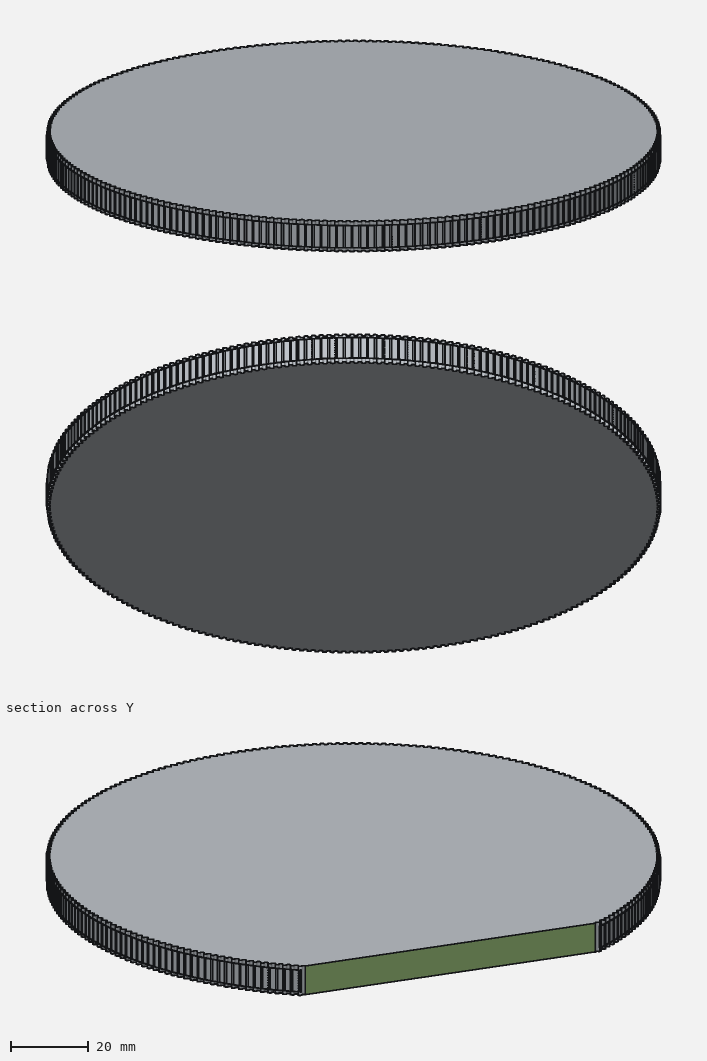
import cadquery as cq
import math

band_diameter = 157.9
thickness = 8.0
tooth_count = 248
band_wall = 0.25
band_width = 6.0
groove_radius = 0.55
tip_fillet = 0.22

band_radius = band_diameter / 2
land_radius = band_radius - band_wall
pitch_angle = 2 * math.pi / tooth_count
groove_center_radius = land_radius - tip_fillet
mouth_half_angle = math.asin((groove_radius + tip_fillet) / land_radius)


def polar_point(radius, angle):
    return cq.Vector(radius * math.cos(angle), radius * math.sin(angle))


def groove_point(across, radial, angle):
    """Point at a distance along, and another square to, the radial line at the given angle."""
    return polar_point(radial, angle) + polar_point(across, angle + math.pi / 2)


def tooth_edges(land_angle):
    """Land of one tooth and the round-bottomed groove after it, with a fillet at each tooth tip."""
    angle = land_angle + pitch_angle / 2
    fillet_reach = tip_fillet * math.sqrt(0.5)
    fillet_across = groove_radius + tip_fillet - fillet_reach
    fillet_radial = groove_center_radius + fillet_reach

    land_start = polar_point(land_radius, angle - pitch_angle + mouth_half_angle)
    land_middle = polar_point(land_radius, land_angle)
    land_end = polar_point(land_radius, angle - mouth_half_angle)
    first_fillet = groove_point(-fillet_across, fillet_radial, angle)
    groove_start = groove_point(-groove_radius, groove_center_radius, angle)
    groove_bottom = polar_point(groove_center_radius - groove_radius, angle)
    groove_end = groove_point(groove_radius, groove_center_radius, angle)
    second_fillet = groove_point(fillet_across, fillet_radial, angle)
    next_land = polar_point(land_radius, angle + mouth_half_angle)

    return [
        cq.Edge.makeThreePointArc(land_start, land_middle, land_end),
        cq.Edge.makeThreePointArc(land_end, first_fillet, groove_start),
        cq.Edge.makeThreePointArc(groove_start, groove_bottom, groove_end),
        cq.Edge.makeThreePointArc(groove_end, second_fillet, next_land),
    ]


def toothed_disk():
    edges = []
    for tooth in range(tooth_count):
        edges.extend(tooth_edges(tooth * pitch_angle))
    outline = cq.Wire.assembleEdges(edges)
    return cq.Workplane("XY").add(outline).toPending().extrude(thickness)


def rim_band():
    """Thin hoop resting on the tooth lands, centred in the thickness."""
    return (
        cq.Workplane("XY")
        .workplane(offset=(thickness - band_width) / 2)
        .circle(band_radius)
        .circle(land_radius)
        .extrude(band_width)
    )


result = toothed_disk().union(rim_band())